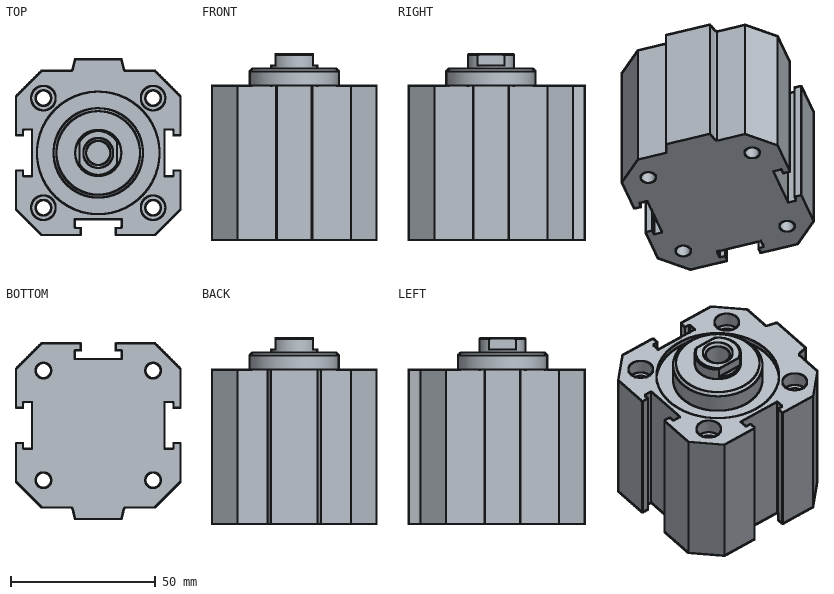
import cadquery as cq


total_height = 64.5
body_height = 53.55
collar_top = 59.55

half_width = 28.5
corner_half_flat = 19.6

tab_top_y = 32.5
tab_top_half_width = 8.05
tab_root_y = 29.3
tab_root_half_width = 8.85
tab_base_half_width = 9.3

slot_depth = 5.5
slot_lip_thickness = 2.5
slot_mouth_half_width = 6.05
slot_inner_half_width = 8.05
slot_edge_break = 0.2
slot_angles = (-90, 0, 90)

bolt_spacing = 38.0
bolt_hole_diameter = 5.3
bolt_head_diameter = 8.5
bolt_head_depth = 5.6

recess_diameter = 42.5
recess_depth = 2.0
collar_diameter = 31.0
collar_chamfer = 1.0

rod_diameter = 16.0
rod_length = 25.8
rod_chamfer = 0.4
flat_spacing = 13.0
flat_length = 3.95
bore_diameter = 8.4
bore_mouth_diameter = 10.4
bore_mouth_angle = 90
bore_depth = 12.9

recess_floor = body_height - recess_depth
rod_bottom = total_height - rod_length


def body_profile():
    """Square block with four chamfered corners and a tapered tab on the +Y side."""
    octagon = (
        cq.Workplane("XY")
        .rect(2 * half_width, 2 * half_width)
        .extrude(body_height)
        .edges("|Z")
        .chamfer(half_width - corner_half_flat)
    )
    tab = (
        cq.Workplane("XY")
        .moveTo(0, tab_top_y)
        .lineTo(tab_top_half_width, tab_top_y)
        .lineTo(tab_root_half_width, tab_root_y)
        .tangentArcPoint((tab_base_half_width, half_width), relative=False)
        .lineTo(tab_base_half_width, 0)
        .lineTo(0, 0)
        .mirrorY()
        .extrude(body_height)
    )
    return octagon.union(tab)


def t_slot():
    """Full-height T-slot cutter opening to the -Y side, with broken edges at its mouth and lips."""
    lip_y = -half_width + slot_lip_thickness
    back_y = -half_width + slot_depth
    right_half = [
        (slot_mouth_half_width + slot_edge_break, -half_width),
        (slot_mouth_half_width, -half_width + slot_edge_break),
        (slot_mouth_half_width, lip_y),
        (slot_inner_half_width - slot_edge_break, lip_y),
        (slot_inner_half_width, lip_y + slot_edge_break),
        (slot_inner_half_width, back_y),
    ]
    left_half = [(-x, y) for x, y in reversed(right_half)]
    return cq.Workplane("XY").polyline(right_half + left_half).close().extrude(body_height)


def collar():
    """Chamfered collar rising from the recess floor."""
    return (
        cq.Workplane("XY", origin=(0, 0, recess_floor))
        .circle(collar_diameter / 2)
        .extrude(collar_top - recess_floor)
        .faces(">Z")
        .chamfer(collar_chamfer)
    )


def make_housing():
    body = body_profile()
    for angle in slot_angles:
        body = body.cut(t_slot().rotate((0, 0, 0), (0, 0, 1), angle))
    body = (
        body.faces(">Z")
        .workplane(origin=(0, 0, body_height))
        .rect(bolt_spacing, bolt_spacing, forConstruction=True)
        .vertices()
        .cboreHole(bolt_hole_diameter, bolt_head_diameter, bolt_head_depth)
    )
    recess = (
        cq.Workplane("XY", origin=(0, 0, recess_floor))
        .circle(recess_diameter / 2)
        .extrude(recess_depth)
    )
    rod_seat = (
        cq.Workplane("XY", origin=(0, 0, rod_bottom))
        .circle(rod_diameter / 2)
        .extrude(rod_length)
    )
    return body.cut(recess).union(collar()).cut(rod_seat)


def make_rod():
    """Rod with a chamfered tip, two wrench flats and a blind bore with a 90 degree mouth."""
    rod = (
        cq.Workplane("XY", origin=(0, 0, rod_bottom))
        .circle(rod_diameter / 2)
        .extrude(rod_length)
        .faces(">Z")
        .chamfer(rod_chamfer)
    )
    flat_depth = (rod_diameter - flat_spacing) / 2
    for side in (-1, 1):
        flat = (
            cq.Workplane("XY", origin=(0, 0, total_height - flat_length))
            .center(side * (flat_spacing + flat_depth) / 2, 0)
            .rect(flat_depth, rod_diameter)
            .extrude(flat_length)
        )
        rod = rod.cut(flat)
    return (
        rod.faces(">Z")
        .workplane(origin=(0, 0, total_height))
        .cskHole(bore_diameter, bore_mouth_diameter, bore_mouth_angle, depth=bore_depth)
    )


housing = make_housing()
rod = make_rod()

result = cq.Compound.makeCompound([housing.val(), rod.val()])